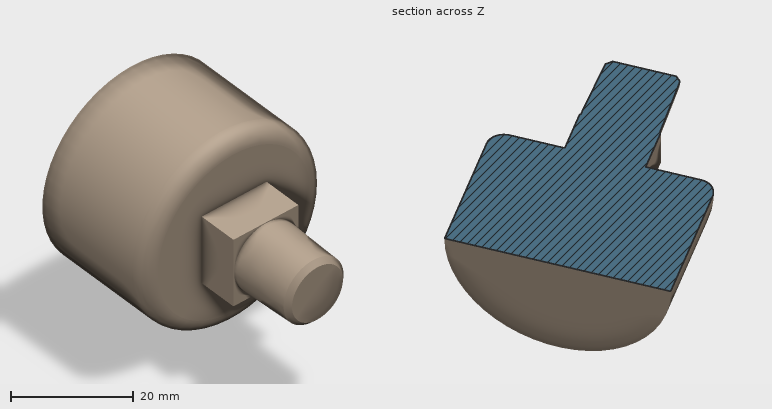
import cadquery as cq

total_length = 46.5
body_length = 25.55
square_length = 8.0
body_diameter = 39.0
body_round = 3.0

square_side = 14.0

spigot_root_diameter = 13.65
spigot_tip_diameter = 12.95
tip_chamfer = 0.98

spigot_start = body_length + square_length
chamfer_start = total_length - tip_chamfer


def make_body():
    """Round body along X with its rear rim rounded."""
    body = cq.Workplane("YZ").circle(body_diameter / 2).extrude(body_length)
    return body.faces(">X").edges().fillet(body_round)


def make_square():
    """Square wrench section behind the body."""
    plane = cq.Workplane("YZ", origin=(body_length, 0, 0))
    return plane.rect(square_side, square_side).extrude(square_length)


def make_spigot():
    """Tapered spigot with a chamfered tip, revolved about X."""
    root_radius = spigot_root_diameter / 2
    tip_radius = spigot_tip_diameter / 2
    profile = (
        cq.Workplane("XY")
        .moveTo(spigot_start, 0)
        .lineTo(spigot_start, root_radius)
        .lineTo(chamfer_start, tip_radius)
        .lineTo(total_length, tip_radius - tip_chamfer)
        .lineTo(total_length, 0)
        .close()
    )
    return profile.revolve(360, (0, 0, 0), (1, 0, 0))


result = make_body().union(make_square()).union(make_spigot())